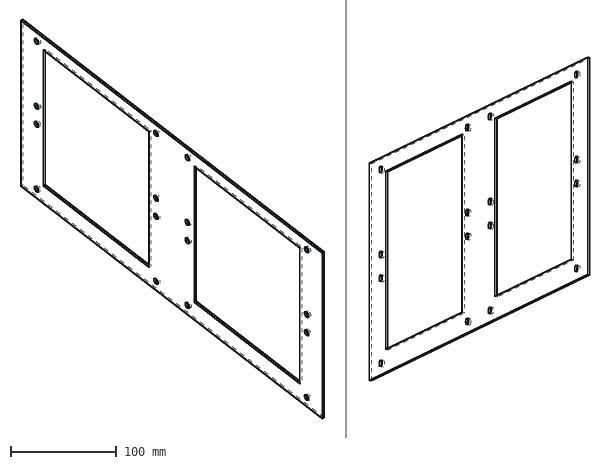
import cadquery as cq

plate_length = 432.0
plate_thickness = 2.4
plate_height = 213.0

bay_centers = (-plate_length / 4, plate_length / 4)

window_width = 151.0
window_height = 174.5
window_rise = 3.5

hole_diameter = 6.0
hole_spacing_x = 171.0
hole_spacing_z = 83.5
hole_group_pitch = 106.5
hole_group_centers = (-hole_group_pitch / 2, hole_group_pitch / 2)


def through_cutter(sketch):
    """Extrude a closed XZ outline through the full plate thickness."""
    return sketch.extrude(plate_thickness, both=True)


def window(bay_x):
    outline = cq.Workplane("XZ").center(bay_x, window_rise).rect(window_width, window_height)
    return through_cutter(outline)


def mounting_holes(bay_x, group_z):
    corners = cq.Workplane("XZ").center(bay_x, group_z).rect(
        hole_spacing_x, hole_spacing_z, forConstruction=True
    )
    return through_cutter(corners.vertices().circle(hole_diameter / 2))


result = cq.Workplane("XY").box(plate_length, plate_thickness, plate_height)
for bay_x in bay_centers:
    result = result.cut(window(bay_x))
    for group_z in hole_group_centers:
        result = result.cut(mounting_holes(bay_x, group_z))